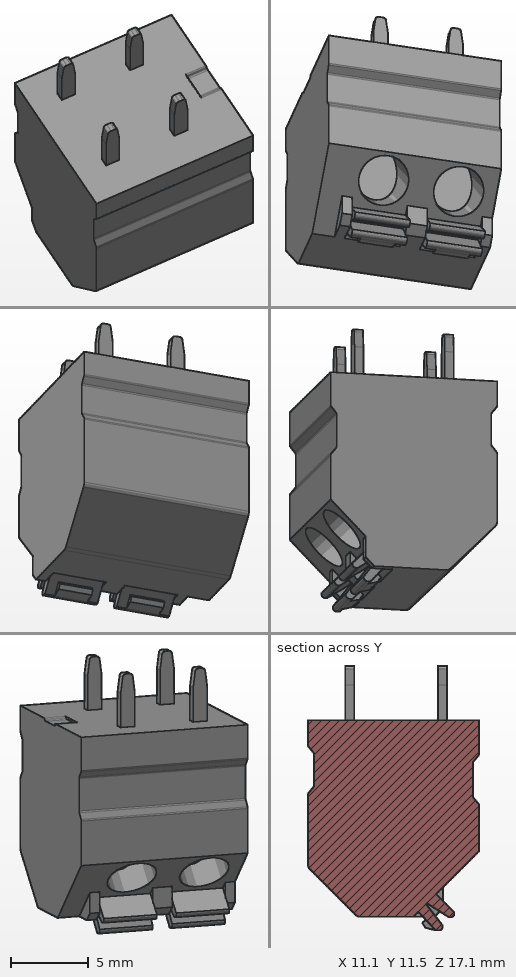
import cadquery as cq
import math


width = 11.05
length = 11.5
height = 17.07
body_top = 13.57
body_bottom = 0.87

pitch = 5.0
pole_positions = [pitch / 2, pitch * 3 / 2]

groove_depth = 0.4
groove_slope_height = 0.48
left_groove_bottom = 8.13
left_groove_top = 11.33
right_groove_bottom = 8.83
right_groove_top = 11.9
corner_radius = 0.17
entry_top = 5.12
right_chamfer = 3.21
right_chamfer_radius = 0.43

end_wall = 1.49
end_wall_front = length - end_wall
notch_center_x = 5.7
notch_top_width = 2.01
notch_depth = 0.15

step_x = 2.32
step_chamfer = 0.56

hole_diameter = 3.28
hole_center_z = 3.79
hole_short_side = 1.74
hole_floor_angle = 56

lever_width = 3.67
lever_upper_offset = 0.43
lever_lower_offset = 2.63
lever_root_rise = 1.7
fork_x = 3.53
fork_z = 1.86
upper_prong_x = 1.6
upper_prong_tip_z = 0.85
lower_prong_x = 2.35
lower_prong_face_z = 0.32
lower_prong_end_x = 2.8
prong_face_bulge = 0.03
prong_face_lean = 0.02
prong_flat_start = 0.19
prong_flat_end = 0.35
hook_inset = 0.68
hook_low_x = 3.47
hook_low_z = 0.17
hook_end_x = 3.67
hook_end_z = 0.48

pin_thickness = 0.6
pin_width = 0.97
pin_tip_width = 0.65
pin_taper_start = 15.85
pin_tip_radius = 0.22
first_pin_x = 2.35
pin_row_spacing = 6.0
pin_rows = [first_pin_x, first_pin_x + pin_row_spacing]


def prism(points, start_y, depth):
    """Extrude an XZ outline from start_y toward +Y."""
    plane = cq.Workplane("XZ", origin=(0, start_y, 0))
    return plane.polyline(points).close().extrude(-depth)


def round_corners(body, corners, radius):
    """Round the edges along Y that pass through the given XZ corners."""
    near = 0.02
    for x, z in corners:
        corner_box = cq.selectors.BoxSelector(
            (x - near, -near, z - near),
            (x + near, length + near, z + near),
        )
        body = body.edges(corner_box).edges("|Y").fillet(radius)
    return body


def groove(wall_x, floor_x, bottom, top):
    """Four corners of a side groove, from bottom to top."""
    return [
        (wall_x, bottom),
        (floor_x, bottom + groove_slope_height),
        (floor_x, top - groove_slope_height),
        (wall_x, top),
    ]


def make_body():
    left_groove = groove(0, groove_depth, left_groove_bottom, left_groove_top)
    right_groove = groove(width, width - groove_depth, right_groove_bottom, right_groove_top)
    chamfer_corners = [
        (width - right_chamfer, body_bottom),
        (width, body_bottom + right_chamfer),
    ]
    outline = [(entry_top - body_bottom, body_bottom)]
    outline += chamfer_corners
    outline += right_groove
    outline += [(width, body_top), (0, body_top)]
    outline += reversed(left_groove)
    outline += [(0, entry_top)]
    body = prism(outline, 0, length)
    body = round_corners(body, left_groove + right_groove, corner_radius)
    return round_corners(body, chamfer_corners, right_chamfer_radius)


def cut_notch(body):
    """Shallow notch with sloped sides across the top of the rear end wall."""
    half_top = notch_top_width / 2
    half_floor = half_top - notch_depth
    floor_z = body_top - notch_depth
    corners = [
        (notch_center_x - half_top, body_top),
        (notch_center_x - half_floor, floor_z),
        (notch_center_x + half_floor, floor_z),
        (notch_center_x + half_top, body_top),
    ]
    body = body.cut(prism(corners, end_wall_front, end_wall))
    return round_corners(body, corners, corner_radius)


def make_step():
    """Step in front of the entry face, open where the levers stand."""
    outline = [
        (step_x, entry_top - step_x),
        (step_x, body_bottom + step_chamfer),
        (step_x + step_chamfer, body_bottom),
        (entry_top - body_bottom, body_bottom),
    ]
    step = prism(outline, 0, end_wall_front)
    for y in pole_positions:
        step = step.cut(prism(outline, y - lever_width / 2, lever_width))
    return step


def make_wire_hole(y):
    """Round hole running up into the body, with a slanted floor."""
    radius = hole_diameter / 2
    center = (entry_top - hole_center_z, y, hole_center_z)
    up_the_face = (-1, 0, 1)
    into_body = (1, 0, 1)
    long_side = hole_short_side + hole_diameter * math.tan(math.radians(hole_floor_angle))
    mouth = cq.Plane(origin=center, xDir=up_the_face, normal=into_body)
    cylinder = cq.Workplane(mouth).circle(radius).extrude(long_side)
    middle = cq.Plane(origin=center, xDir=up_the_face, normal=(0, 1, 0))
    side_outline = [
        (-radius, 0),
        (-radius, hole_short_side),
        (radius, long_side),
        (radius, 0),
    ]
    slanted = cq.Workplane(middle).polyline(side_outline).close().extrude(radius, both=True)
    return cylinder.intersect(slanted)


def make_lever(y):
    """Forked plate with rounded prong tips and a narrower hook underneath."""
    root_z = body_bottom + lever_root_rise
    upper_prong_face_z = upper_prong_x - lever_upper_offset
    upper_prong_mid_z = (upper_prong_face_z + upper_prong_tip_z) / 2
    plane = cq.Workplane("XZ", origin=(0, y - lever_width / 2, 0))
    outline = (
        plane.moveTo(root_z + lever_upper_offset, root_z)
        .lineTo(upper_prong_x, upper_prong_face_z)
        .threePointArc(
            (upper_prong_x + prong_face_lean, upper_prong_mid_z - prong_face_bulge),
            (upper_prong_x + prong_flat_start, upper_prong_tip_z),
        )
        .lineTo(upper_prong_x + prong_flat_end, upper_prong_tip_z)
        .lineTo(fork_x, fork_z)
        .lineTo(lower_prong_x, lower_prong_face_z)
        .threePointArc(
            (lower_prong_x + prong_face_lean, lower_prong_face_z / 2 - prong_face_bulge),
            (lower_prong_x + prong_flat_start, 0),
        )
        .lineTo(lower_prong_end_x, 0)
        .lineTo(root_z + lever_lower_offset, root_z)
        .close()
    )
    plate = outline.extrude(-lever_width)
    neck_z = (hook_end_x + hook_end_z - lever_lower_offset) / 2
    hook_outline = [
        (lower_prong_end_x, 0),
        (hook_low_x, hook_low_z),
        (hook_end_x, hook_end_z),
        (neck_z + lever_lower_offset, neck_z),
    ]
    hook_width = lever_width - 2 * hook_inset
    return plate.union(prism(hook_outline, y - hook_width / 2, hook_width))


def make_pin(x, y):
    """Flat pin with a tapered, rounded tip."""
    half = pin_width / 2
    half_tip = pin_tip_width / 2
    outline = [
        (y - half, body_top),
        (y + half, body_top),
        (y + half, pin_taper_start),
        (y + half_tip, height),
        (y - half_tip, height),
        (y - half, pin_taper_start),
    ]
    plane = cq.Workplane("YZ", origin=(x - pin_thickness / 2, 0, 0))
    pin = plane.polyline(outline).close().extrude(pin_thickness)
    return pin.faces(">Z").edges("|X").fillet(pin_tip_radius)


result = cut_notch(make_body()).union(make_step())
for pole_y in pole_positions:
    result = result.cut(make_wire_hole(pole_y))
    result = result.union(make_lever(pole_y))
    for pin_x in pin_rows:
        result = result.union(make_pin(pin_x, pole_y))